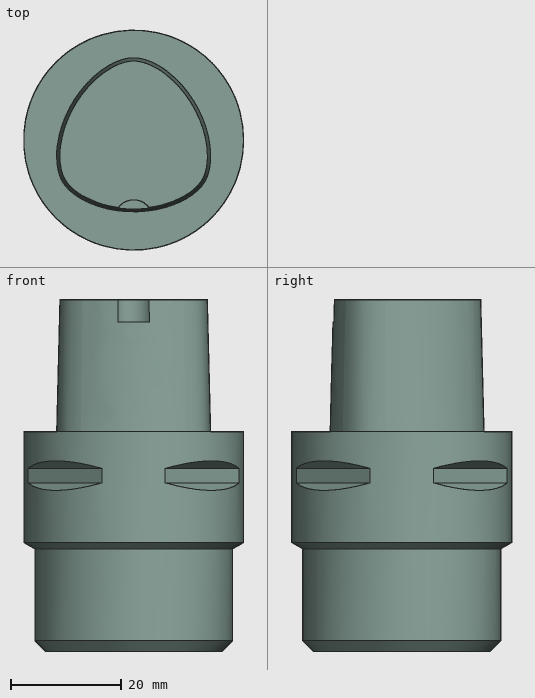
import cadquery as cq
import math

total_height = 64.0
taper_height = 24.0
flange_top = total_height - taper_height

flange_radius = 20.0
shank_radius = 18.0
shank_height = 18.7
bottom_chamfer = 2.0
flange_cone_angle = 30.0
flange_cone_height = (flange_radius - shank_radius) * math.tan(math.radians(flange_cone_angle))

lobe_count = 3
taper_base_width = 28.0
taper_ratio = 1 / 20
taper_top_width = taper_base_width - taper_height * taper_ratio
lobe_eccentricity = 0.97
points_per_face = 9

notch_radius = 3.5
notch_depth = 4.1
notch_wall_y = -10.85

groove_count = 4
groove_start_angle = 45.0
groove_height_z = 32.0
groove_floor_distance = 17.6
groove_floor_width = 2.6
groove_side_angle = 30.0
groove_clearance = 1.0


def make_body():
    """Revolve the half-section of the shank and flange about Z."""
    return (
        cq.Workplane("XZ")
        .lineTo(shank_radius - bottom_chamfer, 0)
        .lineTo(shank_radius, bottom_chamfer)
        .lineTo(shank_radius, shank_height)
        .lineTo(flange_radius, shank_height + flange_cone_height)
        .lineTo(flange_radius, flange_top)
        .lineTo(0, flange_top)
        .close()
        .revolve(360, (0, 0, 0), (0, 1, 0))
    )


def lobe_point(angle, width, z):
    """Point of the constant-width trochoid; angle 0 is the tip of the +Y lobe."""
    along = (
        width / 2 * math.cos(angle)
        + 2 * lobe_eccentricity * math.cos(2 * angle)
        - lobe_eccentricity * math.cos(4 * angle)
    )
    across = (
        width / 2 * math.sin(angle)
        - 2 * lobe_eccentricity * math.sin(2 * angle)
        - lobe_eccentricity * math.sin(4 * angle)
    )
    return cq.Vector(-across, along, z)


def lobe_edge(face_index, width, z):
    """Spline along one lobe or one flat side; the two alternate around the outline."""
    face_angle = math.pi / lobe_count
    start = (face_index - 0.5) * face_angle
    step = face_angle / (points_per_face - 1)
    angles = [start + i * step for i in range(points_per_face)]
    nudge = step / 100
    tangents = [
        lobe_point(a + nudge, width, z) - lobe_point(a - nudge, width, z)
        for a in (angles[0], angles[-1])
    ]
    return cq.Edge.makeSpline([lobe_point(a, width, z) for a in angles], tangents=tangents)


def lobe_wire(width, z):
    """Closed three-lobed outline at height z."""
    return cq.Wire.assembleEdges([lobe_edge(i, width, z) for i in range(2 * lobe_count)])


def make_taper():
    """Loft straight walls between the base and top outlines."""
    outlines = [
        lobe_wire(taper_base_width, flange_top),
        lobe_wire(taper_top_width, total_height),
    ]
    return cq.Workplane(cq.Solid.makeLoft(outlines, True))


def make_notch():
    """Vertical cylinder that cuts the notch from the top face down."""
    return (
        cq.Workplane("XY", origin=(0, notch_wall_y - notch_radius, total_height - notch_depth))
        .circle(notch_radius)
        .extrude(notch_depth)
    )


def make_groove(angle):
    """Straight cutter for one gripper groove, facing the given direction about Z."""
    outer_distance = flange_radius + groove_clearance
    floor_half = groove_floor_width / 2
    flare = (outer_distance - groove_floor_distance) * math.tan(math.radians(groove_side_angle))
    mouth_half = floor_half + flare
    return (
        cq.Workplane("XZ")
        .moveTo(groove_floor_distance, groove_height_z - floor_half)
        .lineTo(outer_distance, groove_height_z - mouth_half)
        .lineTo(outer_distance, groove_height_z + mouth_half)
        .lineTo(groove_floor_distance, groove_height_z + floor_half)
        .close()
        .extrude(flange_radius, both=True)
        .rotate((0, 0, 0), (0, 0, 1), angle)
    )


result = make_body().union(make_taper()).cut(make_notch())
for groove_index in range(groove_count):
    groove_angle = groove_start_angle + groove_index * 360 / groove_count
    result = result.cut(make_groove(groove_angle))